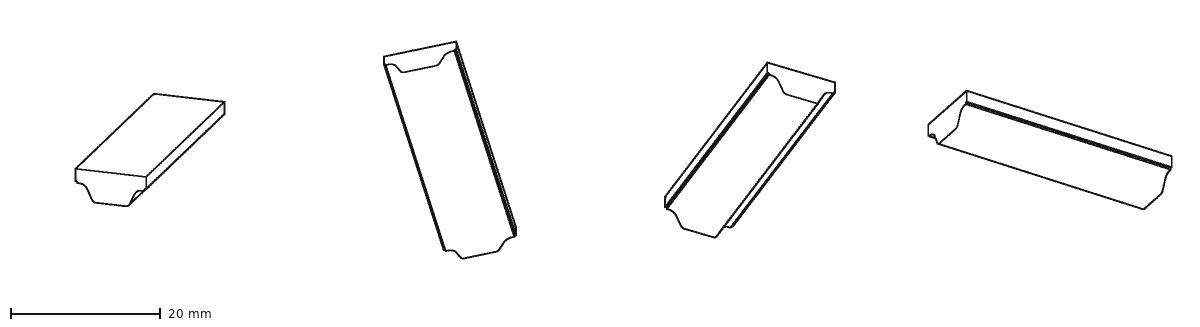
import cadquery as cq
import math

top_width = 10.0
length = 32.0
height = 4.5

side_height = 1.75
rim_height = 2.0
rim_step = 0.2
lip_lean_angle = 15.0

bottom_width = 5.0
flank_angle = 25.0
root_radius = 1.2
bottom_edge_radius = 0.6

half_top = top_width / 2
half_bottom = bottom_width / 2


def lean_offset(rise, angle):
    """Sideways run of a face that leans by angle from the vertical over a given rise."""
    return rise * math.tan(math.radians(angle))


root_x = half_bottom + lean_offset(height - rim_height, flank_angle)


def make_strip():
    """Extrude the symmetric cross-section, with sharp keel corners, along Y."""
    step_x = half_top - rim_step
    lip_x = step_x - lean_offset(rim_height - side_height, lip_lean_angle)
    right_side = [
        (half_top, 0),
        (half_top, -side_height),
        (step_x, -side_height),
        (lip_x, -rim_height),
        (root_x, -rim_height),
        (half_bottom, -height),
    ]
    left_side = [(-x, z) for x, z in reversed(right_side)]
    section = cq.Workplane("XZ").polyline(right_side + left_side).close()
    return section.extrude(length / 2, both=True)


def round_edge_pair(strip, x, z, radius):
    """Fillet the two lengthwise edges that run through (x, z) and (-x, z)."""
    for edge_x in (-x, x):
        edge = strip.edges(cq.selectors.NearestToPointSelector((edge_x, 0, z)))
        strip = edge.fillet(radius)
    return strip


strip = make_strip()
strip = round_edge_pair(strip, root_x, -rim_height, root_radius)
strip = round_edge_pair(strip, half_bottom, -height, bottom_edge_radius)
result = strip